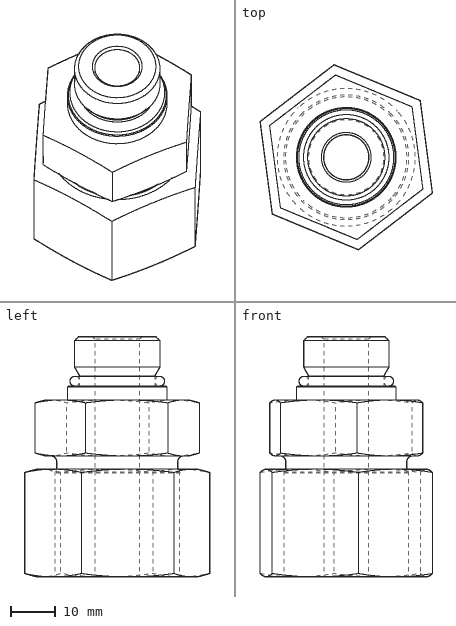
import cadquery as cq
import math

TOTAL_HEIGHT = 53.5
STEM_SHOULDER = 23.4
NUT_TOP = 24.0
BODY_HEX_BOTTOM = 26.9
BODY_HEX_TOP = 39.45
COLLAR_TOP = 42.5
THREAD_BOTTOM = 46.7

NUT_ACROSS_FLATS = 36.0
BODY_ACROSS_FLATS = 32.0
HEX_TURN = 7.5
HEX_CHAMFER_ANGLE = 15.0
CHAMFER_CIRCLE_INSET = 0.05

BORE_DIAMETER = 10.0
BORE_CHAMFER = 0.55
THREAD_DIAMETER = 19.05
THREAD_CHAMFER = 0.9
GROOVE_DIAMETER = 16.75
RUNOUT_ANGLE = 30.0
COLLAR_DIAMETER = 22.2
COLLAR_CHAMFER = 0.2
NECK_DIAMETER = 27.0
NECK_FILLET = 1.25

SEAL_SECTION_DIAMETER = 2.2
NUT_MOUTH_DIAMETER = 30.7
NUT_MOUTH_DEPTH = 0.85
NUT_BORE_DIAMETER = 27.8


def chamfered_hexagon(across_flats, bottom, top):
    """Upright hexagonal prism whose corners are cut by a cone at both ends."""
    across_corners = across_flats / math.cos(math.radians(30))
    prism = (
        cq.Workplane("XY")
        .workplane(offset=bottom)
        .polygon(6, across_corners)
        .extrude(top - bottom)
        .rotate((0, 0, 0), (0, 0, 1), 30 + HEX_TURN)
    )
    circle_radius = across_flats / 2 - CHAMFER_CIRCLE_INSET
    corner_radius = across_corners / 2
    drop = (corner_radius - circle_radius) * math.tan(math.radians(HEX_CHAMFER_ANGLE))
    envelope = (
        cq.Workplane("XZ")
        .moveTo(0, bottom)
        .lineTo(circle_radius, bottom)
        .lineTo(corner_radius, bottom + drop)
        .lineTo(corner_radius, top - drop)
        .lineTo(circle_radius, top)
        .lineTo(0, top)
        .close()
        .revolve(360, (0, 0, 0), (0, 1, 0))
    )
    return prism.intersect(envelope)


def countersink(hole_diameter, mouth_diameter, depth, top):
    """Conical cutter that widens the top of a hole to its mouth diameter."""
    return cq.Workplane(
        cq.Solid.makeCone(hole_diameter / 2, mouth_diameter / 2, depth, cq.Vector(0, 0, top - depth))
    )


def upper_stud():
    """Collar, seal groove and threaded end above the body hexagon."""
    thread_radius = THREAD_DIAMETER / 2
    groove_radius = GROOVE_DIAMETER / 2
    collar_radius = COLLAR_DIAMETER / 2
    runout_height = (thread_radius - groove_radius) / math.tan(math.radians(RUNOUT_ANGLE))
    return (
        cq.Workplane("XZ")
        .moveTo(0, BODY_HEX_TOP)
        .lineTo(collar_radius, BODY_HEX_TOP)
        .lineTo(collar_radius, COLLAR_TOP - COLLAR_CHAMFER)
        .lineTo(collar_radius - COLLAR_CHAMFER, COLLAR_TOP)
        .lineTo(groove_radius, COLLAR_TOP)
        .lineTo(groove_radius, THREAD_BOTTOM - runout_height)
        .lineTo(thread_radius, THREAD_BOTTOM)
        .lineTo(thread_radius, TOTAL_HEIGHT - THREAD_CHAMFER)
        .lineTo(thread_radius - THREAD_CHAMFER, TOTAL_HEIGHT)
        .lineTo(0, TOTAL_HEIGHT)
        .close()
        .revolve(360, (0, 0, 0), (0, 1, 0))
    )


def lower_stem():
    """Neck below the hexagon, filleted at both ends, and the stem that fills the nut bore."""
    neck_radius = NECK_DIAMETER / 2
    stem_radius = NUT_BORE_DIAMETER / 2
    shoulder_fillet = stem_radius - neck_radius
    profile = (
        cq.Workplane("XZ")
        .lineTo(stem_radius, 0)
        .lineTo(stem_radius, STEM_SHOULDER)
        .radiusArc((neck_radius, STEM_SHOULDER + shoulder_fillet), shoulder_fillet)
        .lineTo(neck_radius, BODY_HEX_BOTTOM - NECK_FILLET)
        .radiusArc((neck_radius + NECK_FILLET, BODY_HEX_BOTTOM), NECK_FILLET)
        .lineTo(0, BODY_HEX_BOTTOM)
        .close()
    )
    return profile.revolve(360, (0, 0, 0), (0, 1, 0))


def make_fitting_body():
    """Hexagonal fitting with a stud above, a stem below and a through bore."""
    hexagon = chamfered_hexagon(BODY_ACROSS_FLATS, BODY_HEX_BOTTOM, BODY_HEX_TOP)
    bore = cq.Workplane("XY").circle(BORE_DIAMETER / 2).extrude(TOTAL_HEIGHT)
    entry = countersink(BORE_DIAMETER, BORE_DIAMETER + 2 * BORE_CHAMFER, BORE_CHAMFER, TOTAL_HEIGHT)
    return hexagon.union(upper_stud()).union(lower_stem()).cut(bore).cut(entry)


def make_seal():
    """O-ring resting on the collar, around the groove floor."""
    section_radius = SEAL_SECTION_DIAMETER / 2
    ring_radius = GROOVE_DIAMETER / 2 + section_radius
    return cq.Workplane(
        cq.Solid.makeTorus(ring_radius, section_radius, cq.Vector(0, 0, COLLAR_TOP + section_radius))
    )


def make_nut():
    """Hexagonal union nut with a plain bore and a countersunk mouth."""
    bore = cq.Workplane("XY").circle(NUT_BORE_DIAMETER / 2).extrude(NUT_TOP)
    mouth = countersink(NUT_BORE_DIAMETER, NUT_MOUTH_DIAMETER, NUT_MOUTH_DEPTH, NUT_TOP)
    return chamfered_hexagon(NUT_ACROSS_FLATS, 0, NUT_TOP).cut(bore).cut(mouth)


fitting_body = make_fitting_body()
seal = make_seal()
nut = make_nut()

result = cq.Compound.makeCompound([fitting_body.val(), seal.val(), nut.val()])